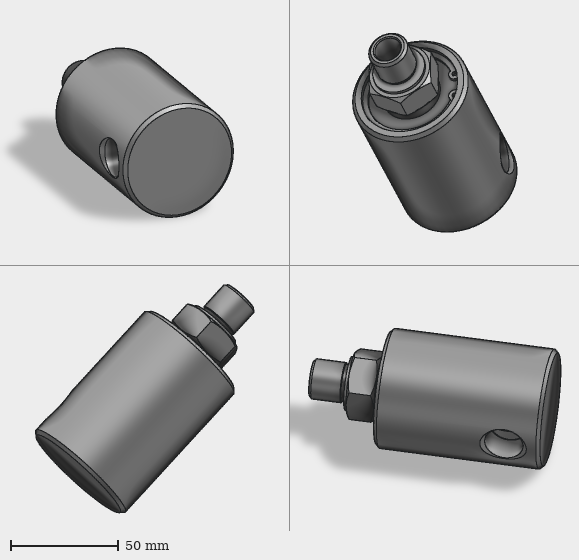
import cadquery as cq
import math

length = 113.2
thread_end = 15.1
relief_start = 15.4
flange_start = 17.4
hex_start = 18.9
hex_end = 32.2
body_start = 34.2

thread_d = 19.0
relief_edge_d = 18.1
relief_d = 16.8
flange_d = 25.4
collar_d = 27.9
body_d = 56.6

thread_chamfer = 1.2
body_chamfer = 1.7

hex_sides = 6
hex_flats = 30.0
hex_chamfer_d = 29.4
hex_chamfer_angle = 30.0

recess_d = 47.1
recess_depth = 4.0
ring_inner_d = 42.1
ring_thickness = 1.7
ear_d = 5.9
ear_hole_d = 2.4
ear_y = -21.4
ear_z = 6.1

bore_d = 12.7
bore_mouth_d = 13.8
rotor_d = 25.4
port_d = 18.2
port_depth = 13.9
port_floor_d = 17.4
port_mouth_d = 22.1
port_x = 96.0


def cylinder_x(diameter, start, end):
    return cq.Workplane("YZ").workplane(offset=start).circle(diameter / 2).extrude(end - start)


def make_spigot():
    thread_r = thread_d / 2
    relief_r = relief_d / 2
    flange_r = flange_d / 2
    relief_edge_r = relief_edge_d / 2
    run = flange_start - relief_start
    drop = relief_edge_r - relief_r
    arc_r = (run**2 + drop**2) / (2 * drop)
    half_angle = math.asin(run / arc_r) / 2
    relief_mid = (
        flange_start - arc_r * math.sin(half_angle),
        relief_r + arc_r * (1 - math.cos(half_angle)),
    )
    profile = (
        cq.Workplane("XY")
        .lineTo(0, thread_r - thread_chamfer)
        .lineTo(thread_chamfer, thread_r)
        .lineTo(thread_end, thread_r)
        .lineTo(relief_start, relief_edge_r)
        .threePointArc(relief_mid, (flange_start, relief_r))
        .lineTo(flange_start, flange_r)
        .lineTo(hex_start, flange_r)
        .lineTo(hex_start, 0)
        .close()
    )
    return profile.revolve(360, (0, 0, 0), (1, 0, 0))


def make_hexagon():
    corner_r = hex_flats / 2 / math.cos(math.pi / hex_sides)
    chamfer_r = hex_chamfer_d / 2
    chamfer_x = (corner_r - chamfer_r) * math.tan(math.radians(hex_chamfer_angle))
    prism = (
        cq.Workplane("YZ").workplane(offset=hex_start)
        .polygon(hex_sides, 2 * corner_r).extrude(hex_end - hex_start)
        .rotate((0, 0, 0), (1, 0, 0), 90)
    )
    envelope = (
        cq.Workplane("XY")
        .moveTo(hex_start, 0)
        .lineTo(hex_start, chamfer_r)
        .lineTo(hex_start + chamfer_x, corner_r)
        .lineTo(hex_end - chamfer_x, corner_r)
        .lineTo(hex_end, chamfer_r)
        .lineTo(hex_end, 0)
        .close()
        .revolve(360, (0, 0, 0), (1, 0, 0))
    )
    return prism.intersect(envelope)


def make_body():
    body = cylinder_x(body_d, body_start, length).faces("<X or >X").chamfer(body_chamfer)
    recess = cylinder_x(recess_d, body_start, body_start + recess_depth)
    collar = cylinder_x(collar_d, hex_end, body_start + recess_depth)
    return body.cut(recess).union(collar)


def make_retaining_ring():
    ring_end = body_start + recess_depth
    ring_start = ring_end - ring_thickness
    recess_disc = cylinder_x(recess_d, ring_start, ring_end)
    gap = (
        cq.Workplane("YZ").workplane(offset=ring_start)
        .center(-recess_d / 2, 0)
        .rect(recess_d / 2, 2 * ear_z).extrude(ring_thickness)
    )
    ring = recess_disc.cut(cylinder_x(ring_inner_d, ring_start, ring_end)).cut(gap)
    for side in (-1, 1):
        center = (0, ear_y, side * ear_z)
        ear = cylinder_x(ear_d, ring_start, ring_end).translate(center)
        ear_root = (
            cq.Workplane("YZ").workplane(offset=ring_start)
            .center(ear_y - ear_d / 2, side * (ear_z - ear_d / 4))
            .rect(ear_d, ear_d / 2).extrude(ring_thickness)
        )
        ear_hole = cylinder_x(ear_hole_d, ring_start, ring_end).translate(center)
        ring = ring.union(ear.union(ear_root).intersect(recess_disc)).cut(ear_hole)
    return ring


def make_bore():
    mouth_depth = (bore_mouth_d - bore_d) / 2
    mouth = (
        cq.Workplane("YZ").circle(bore_mouth_d / 2)
        .workplane(offset=mouth_depth).circle(bore_d / 2).loft()
    )
    return cylinder_x(bore_d, 0, port_x).union(mouth)


def make_port():
    mouth_depth = (port_mouth_d - port_d) / 2
    port_plane = cq.Workplane("XZ", origin=(port_x, -body_d / 2, 0))
    mouth = (
        port_plane.circle(port_mouth_d / 2)
        .workplane(offset=-mouth_depth).circle(port_d / 2).loft()
    )
    hole = port_plane.circle(port_d / 2).extrude(-port_depth)
    floor_hole = port_plane.circle(port_floor_d / 2).extrude(-body_d / 2)
    rotor = cylinder_x(rotor_d, hex_end, length)
    return hole.union(floor_hole).union(mouth).cut(rotor)


result = (
    make_body()
    .union(make_retaining_ring())
    .union(make_hexagon())
    .union(make_spigot())
    .cut(make_bore())
    .cut(make_port())
)